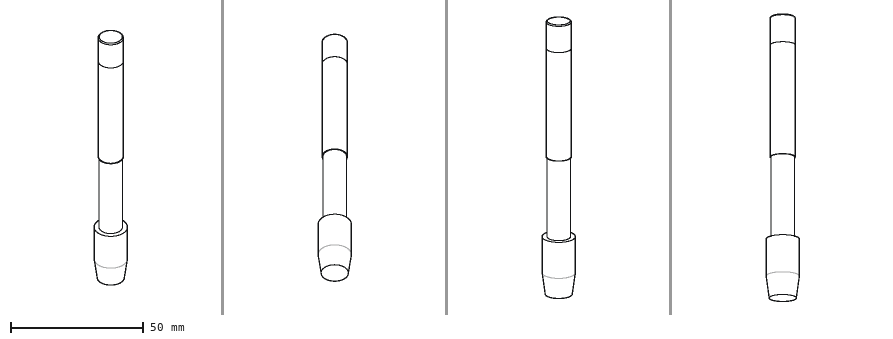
import cadquery as cq

total_length = 110.0

head_diameter = 12.6
head_base_diameter = 10.3
head_length = 23.1
taper_length = 8.6

neck_diameter = 8.9
shank_diameter = 9.6
shank_start = 55.2

cap_length = 11.0
cap_chamfer = 0.4
cap_start = total_length - cap_length


def make_pin():
    """Turned pin: tapered head, neck and shank in one solid."""
    head_radius = head_diameter / 2
    neck_radius = neck_diameter / 2
    shank_radius = shank_diameter / 2
    return (
        cq.Workplane("XZ")
        .moveTo(0, 0)
        .lineTo(head_base_diameter / 2, 0)
        .lineTo(head_radius, taper_length)
        .lineTo(head_radius, head_length)
        .lineTo(neck_radius, head_length)
        .lineTo(neck_radius, shank_start)
        .lineTo(shank_radius, shank_start)
        .lineTo(shank_radius, cap_start)
        .lineTo(0, cap_start)
        .close()
        .revolve(360, (0, 0, 0), (0, 1, 0))
    )


def make_cap():
    """Cylindrical cap flush with the shank, chamfered at its free end."""
    return (
        cq.Workplane("XY")
        .workplane(offset=cap_start)
        .circle(shank_diameter / 2)
        .extrude(cap_length)
        .faces(">Z")
        .chamfer(cap_chamfer)
    )


pin = make_pin()
cap = make_cap()

result = cq.Compound.makeCompound([pin.val(), cap.val()])